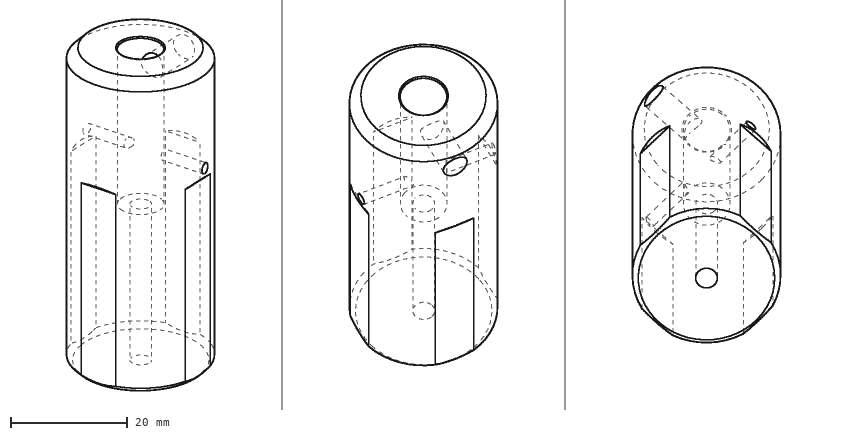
import cadquery as cq

length = 60.0
body_diameter = 25.4
top_chamfer = 2.0
bottom_chamfer = 1.0

flat_distance = 12.15
flat_top = 37.9
flat_count = 4

bore_diameter = 8.0
bore_depth = 30.0
bore_chamfer = 0.25
through_diameter = 3.7

pin_diameter = 2.0
pin_offset = 1.5
pin_height = 40.0

side_diameter = 4.5
side_height = 55.0

body_radius = body_diameter / 2


def make_body():
    """Round bar with a chamfer at each end."""
    bar = cq.Workplane("XY").circle(body_radius).extrude(length)
    return bar.faces(">Z").chamfer(top_chamfer).faces("<Z").chamfer(bottom_chamfer)


def make_flat_cutter():
    """Block outside the -Y flat, with a 45 degree sloping upper end."""
    reach = body_diameter - flat_distance
    return (
        cq.Workplane("YZ")
        .moveTo(-flat_distance, 0)
        .lineTo(-flat_distance, flat_top)
        .lineTo(-flat_distance - reach, flat_top + reach)
        .lineTo(-flat_distance - reach, 0)
        .close()
        .extrude(body_radius, both=True)
    )


def make_bore():
    """Stepped axial bore with a small chamfer at its mouth."""
    mouth_radius = bore_diameter / 2 + bore_chamfer
    through_radius = through_diameter / 2
    bore_floor = length - bore_depth
    return (
        cq.Workplane("XZ")
        .lineTo(through_radius, 0)
        .lineTo(through_radius, bore_floor)
        .lineTo(bore_diameter / 2, bore_floor)
        .lineTo(bore_diameter / 2, length - bore_chamfer)
        .lineTo(mouth_radius, length)
        .lineTo(0, length)
        .close()
        .revolve(360, (0, 0, 0), (0, 1, 0))
    )


def make_pin_hole():
    """Cross hole running the full width along X."""
    return (
        cq.Workplane("YZ")
        .center(pin_offset, pin_height)
        .circle(pin_diameter / 2)
        .extrude(body_diameter, both=True)
    )


def make_side_hole():
    """Hole from the axis outward through the +Y wall."""
    return (
        cq.Workplane("XZ")
        .center(0, side_height)
        .circle(side_diameter / 2)
        .extrude(-body_diameter)
    )


result = make_body()
flat_cutter = make_flat_cutter()
for index in range(flat_count):
    angle = index * 360 / flat_count
    result = result.cut(flat_cutter.rotate((0, 0, 0), (0, 0, 1), angle))
result = result.cut(make_bore()).cut(make_pin_hole()).cut(make_side_hole())